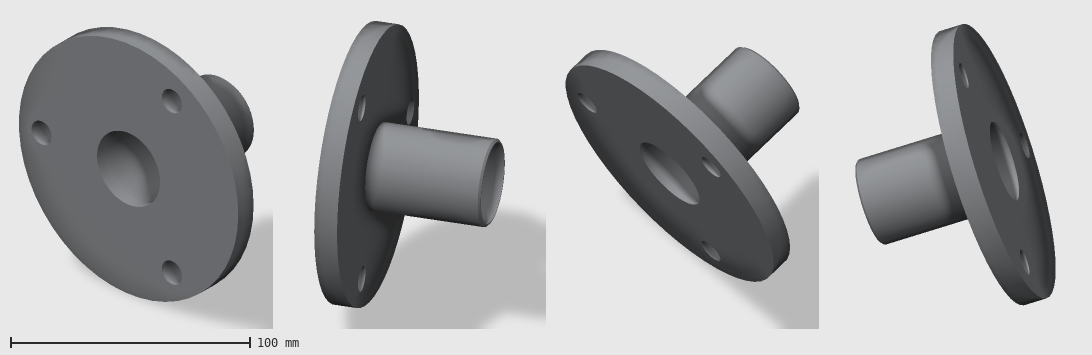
import cadquery as cq

flange_diameter = 120
flange_thickness = 10.0

total_depth = 60
sleeve_diameter = 37.5
bore_diameter = 34.5
sleeve_chamfer = 1.0

hole_count = 3
hole_diameter = 11.0
hole_circle_radius = 47.5
first_hole_angle = 180


def cylinder_along_y(diameter, length):
    """Cylinder on the Y axis, from Y = 0 to Y = length."""
    return cq.Workplane("XZ").circle(diameter / 2).extrude(-length)


def mounting_holes():
    """Cutters for the equally spaced holes through the flange."""
    return (
        cq.Workplane("XZ")
        .polarArray(hole_circle_radius, first_hole_angle, 360, hole_count)
        .circle(hole_diameter / 2)
        .extrude(-flange_thickness)
    )


flange = cylinder_along_y(flange_diameter, flange_thickness)
sleeve = cylinder_along_y(sleeve_diameter, total_depth).faces(">Y").edges().chamfer(sleeve_chamfer)
bore = cylinder_along_y(bore_diameter, total_depth)

result = flange.union(sleeve).cut(bore).cut(mounting_holes())